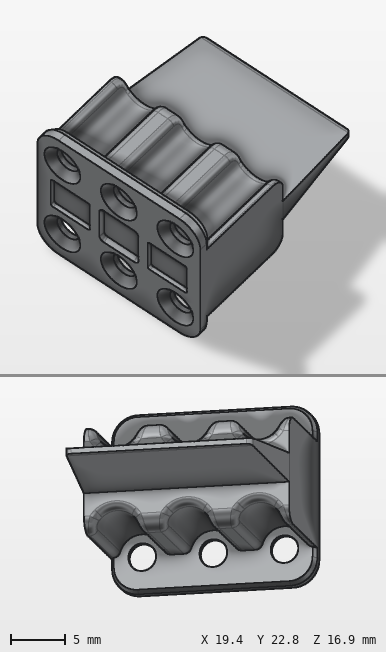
import cadquery as cq
import math

PLATE_WIDTH = 19.35
PLATE_HEIGHT = 16.9
PLATE_THICKNESS = 1.41
PLATE_CORNER_RADIUS = 2.5
PLATE_BEVEL_DEPTH = 0.52
PLATE_BEVEL_INSET = 0.32

BLOCK_HEIGHT = 10.03
BLOCK_END = 11.9
BLOCK_EDGE_RADIUS = 1.5
FLUTE_EDGE_RADIUS = 0.75

HOLE_COLUMNS = 3
HOLE_ROWS = 2
HOLE_PITCH_X = 6.7
HOLE_PITCH_Z = 10.17
HOLE_DIAMETER = 2.6
HEAD_DIAMETER = 4.26
SINK_HALF_ANGLE = 45.0
SINK_DEPTH = (HEAD_DIAMETER - HOLE_DIAMETER) / 2 / math.tan(math.radians(SINK_HALF_ANGLE))

BLADE_TIP = 22.8
BLADE_ROOT_THICKNESS = 2.74
BLADE_TIP_THICKNESS = 0.68
BLADE_TIP_WIDTH = 17.49
BLADE_CORNER_RADIUS = 0.5
BLADE_BEVEL_LENGTH = 0.35
BLADE_BEVEL_INSET = 0.1

POCKET_WIDTH = 4.65
POCKET_HEIGHT = 3.92
POCKET_PITCH = 5.75
POCKET_DEPTH = 0.5
POCKET_CORNER_RADIUS = 0.25
CENTRE_OPENING = 4.65
CENTRE_OPENING_RADIUS = 0.55
CENTRE_FLOOR_WIDTH = 4.26
CENTRE_FLOOR_RADIUS = 0.36


def front_plane():
    """Sketch plane on the front face: local X is -X, local Y is Z, normal is +Y."""
    return cq.Workplane(cq.Plane(origin=(0, 0, 0), xDir=(-1, 0, 0), normal=(0, 1, 0)))


def hole_pattern():
    """Screw hole centres on the front face."""
    return front_plane().rarray(HOLE_PITCH_X, HOLE_PITCH_Z, HOLE_COLUMNS, HOLE_ROWS)


def make_plate():
    plate = front_plane().rect(PLATE_WIDTH, PLATE_HEIGHT).extrude(PLATE_THICKNESS)
    plate = plate.edges("|Y").fillet(PLATE_CORNER_RADIUS)
    return plate.faces(">Y").edges().chamfer(PLATE_BEVEL_DEPTH, PLATE_BEVEL_INSET)


def make_block():
    """Block with a flute behind every hole, cut along its full length."""
    block = front_plane().rect(PLATE_WIDTH, BLOCK_HEIGHT).extrude(BLOCK_END)
    block = block.faces(">Y").edges("|X").fillet(BLOCK_EDGE_RADIUS)
    flutes = hole_pattern().circle(HEAD_DIAMETER / 2).extrude(BLOCK_END)
    fluted = block.cut(flutes)
    flute_edges = "%BSPLINE or (%CIRCLE and >Y) or (|Y and (not (<X or >X)))"
    return fluted.edges(flute_edges).fillet(FLUTE_EDGE_RADIUS)


def make_blade():
    """Blade tapering in thickness and width towards a bevelled tip."""
    blade_length = BLADE_TIP - BLOCK_END
    side_outline = [
        (0, BLADE_ROOT_THICKNESS / 2),
        (blade_length - BLADE_BEVEL_LENGTH, BLADE_TIP_THICKNESS / 2),
        (blade_length, BLADE_TIP_THICKNESS / 2 - BLADE_BEVEL_INSET),
        (blade_length, -BLADE_TIP_THICKNESS / 2 + BLADE_BEVEL_INSET),
        (blade_length - BLADE_BEVEL_LENGTH, -BLADE_TIP_THICKNESS / 2),
        (0, -BLADE_ROOT_THICKNESS / 2),
    ]
    plan_outline = [
        (-PLATE_WIDTH / 2, 0),
        (-BLADE_TIP_WIDTH / 2, blade_length),
        (BLADE_TIP_WIDTH / 2, blade_length),
        (PLATE_WIDTH / 2, 0),
    ]
    profile = (
        cq.Workplane("YZ", origin=(0, BLOCK_END, 0))
        .polyline(side_outline)
        .close()
        .extrude(PLATE_WIDTH / 2, both=True)
    )
    plan = (
        cq.Workplane("XY", origin=(0, BLOCK_END, 0))
        .polyline(plan_outline)
        .close()
        .extrude(BLADE_ROOT_THICKNESS, both=True)
        .edges("|Z and >Y")
        .fillet(BLADE_CORNER_RADIUS)
    )
    return profile.intersect(plan)


def make_holes():
    """Straight holes through the plate, with conical sinks at the front face."""
    through = hole_pattern().circle(HOLE_DIAMETER / 2).extrude(PLATE_THICKNESS)
    sinks = hole_pattern().circle(HEAD_DIAMETER / 2).extrude(SINK_DEPTH, taper=SINK_HALF_ANGLE)
    return through.union(sinks)


def make_side_pockets():
    pockets = (
        front_plane()
        .pushPoints([(-POCKET_PITCH, 0), (POCKET_PITCH, 0)])
        .rect(POCKET_WIDTH, POCKET_HEIGHT)
        .extrude(POCKET_DEPTH)
    )
    return pockets.edges("|Y").fillet(POCKET_CORNER_RADIUS)


def rounded_rectangle(width, height, radius):
    outline = cq.Sketch().rect(width, height)
    return outline.vertices().fillet(radius)


def make_centre_pocket():
    """Pocket whose walls slope in from a larger opening to the floor."""
    opening = rounded_rectangle(CENTRE_OPENING, CENTRE_OPENING, CENTRE_OPENING_RADIUS)
    floor = rounded_rectangle(CENTRE_FLOOR_WIDTH, POCKET_HEIGHT, CENTRE_FLOOR_RADIUS)
    floor = floor.moved(cq.Location(cq.Vector(0, 0, POCKET_DEPTH)))
    return front_plane().placeSketch(opening, floor).loft()


result = (
    make_plate()
    .union(make_block())
    .union(make_blade())
    .cut(make_holes())
    .cut(make_side_pockets())
    .cut(make_centre_pocket())
)